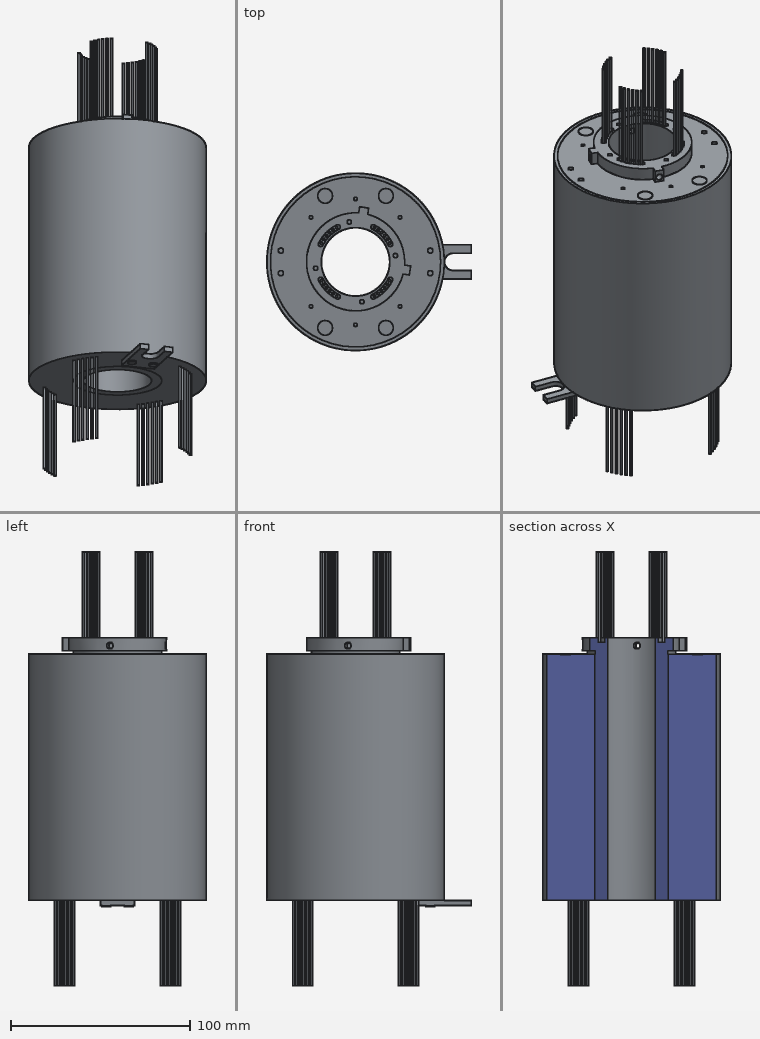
import cadquery as cq
import math

TOTAL_HEIGHT = 242.0
HOUSING_BOTTOM = 47.7
HOUSING_TOP = 185.2
FLANGE_BOTTOM = 187.0
FLANGE_TOP = 194.2

HOUSING_DIAMETER = 99.0
HOUSING_RADIUS = HOUSING_DIAMETER / 2
COVER_RADIUS = 47.5
COVER_RECESS = 0.2
SCREW_SEAT_RADIUS = 4.0
SCREW_SEAT_DEPTH = 0.2
SCREW_SEAT_X = 17.0
SCREW_SEAT_Y = 36.8
SMALL_HOLE_RADIUS = 1.0
SMALL_HOLE_CIRCLE = 35.0
SMALL_HOLE_ANGLES = (45, 90, 135, 225, 270, 315)
MOUNT_HOLE_RADIUS = 1.5
MOUNT_HOLE_X = 41.6
MOUNT_HOLE_Y = 6.3
COVER_HOLE_DEPTH = 4.8

TOTAL_LENGTH = 114.0
FORK_START_X = 34.0
FORK_END_X = TOTAL_LENGTH - HOUSING_RADIUS
FORK_WIDTH = 19.1
FORK_THICKNESS = 3.0
FORK_SLOT_WIDTH = 9.5
FORK_SLOT_START_X = 49.6
SCREW_HEAD_RADIUS = 2.5
SCREW_HEAD_HEIGHT = 0.7

BORE_DIAMETER = 38.0
BORE_RADIUS = BORE_DIAMETER / 2
SLEEVE_RADIUS = 24.7
FLANGE_RADIUS = 27.4
FACE_HOLE_RADIUS = 1.2
FACE_HOLE_CIRCLE = 22.5
FACE_HOLE_DEPTH = 2.5
CLAMP_ANGLE = -9.0
CLAMP_HEIGHT = 189.8
CLAMP_HOLE_RADIUS = 1.82
BOSS_WIDTH = 5.0
BOSS_REACH = 30.7
BOSS_ROOT = 22.5
BOSS_ANGLES = (CLAMP_ANGLE, CLAMP_ANGLE + 90)

WIRE_RADIUS = 0.65
WIRES_PER_GROUP = 6
GROUP_ANGLES = (45, 135, 225, 315)
ROTOR_WIRE_CIRCLE = 21.8
ROTOR_WIRE_PITCH = 6.5
WIRE_SLOT_WIDTH = 2.7
WIRE_SLOT_DEPTH = 2.5
WIRE_SLOT_HALF_ANGLE = 18.0
STATOR_WIRE_CIRCLE = 42.4
STATOR_WIRE_PITCH = 3.8

QUARTER_TURNS = (0, 90, 180, 270)
WIRE_SLOT_FLOOR = FLANGE_TOP - WIRE_SLOT_DEPTH
COVER_TOP = HOUSING_TOP - COVER_RECESS


def polar(radius, angle):
    """Point at a radius and an angle in degrees about the shaft axis."""
    return (radius * math.cos(math.radians(angle)), radius * math.sin(math.radians(angle)))


def wire_points(circle_radius, pitch):
    """Wire centres: groups of evenly pitched wires on one circle."""
    half_span = pitch * (WIRES_PER_GROUP - 1) / 2
    return [
        polar(circle_radius, group + wire * pitch - half_span)
        for group in GROUP_ANGLES
        for wire in range(WIRES_PER_GROUP)
    ]


def posts(points, radius, bottom, top):
    """Upright cylinders of one radius between two heights."""
    return cq.Workplane("XY").workplane(offset=bottom).pushPoints(points).circle(radius).extrude(top - bottom)


def mirrored(x_places, y):
    """Points at each x, on both sides of the X axis."""
    return [(x, side * y) for x in x_places for side in (-1, 1)]


def make_fork():
    """Flat two-pronged bracket with a round-bottomed slot and two screw heads below."""
    bottom = HOUSING_BOTTOM - FORK_THICKNESS
    slot_radius = FORK_SLOT_WIDTH / 2
    arc_centre_x = FORK_SLOT_START_X + slot_radius
    half_width = FORK_WIDTH / 2
    plate = (
        cq.Workplane("XY").workplane(offset=bottom)
        .moveTo(FORK_START_X, -half_width)
        .lineTo(FORK_END_X, -half_width)
        .lineTo(FORK_END_X, -slot_radius)
        .lineTo(arc_centre_x, -slot_radius)
        .threePointArc((FORK_SLOT_START_X, 0), (arc_centre_x, slot_radius))
        .lineTo(FORK_END_X, slot_radius)
        .lineTo(FORK_END_X, half_width)
        .lineTo(FORK_START_X, half_width)
        .close()
        .extrude(FORK_THICKNESS)
    )
    head_points = mirrored([MOUNT_HOLE_X], MOUNT_HOLE_Y)
    heads = posts(head_points, SCREW_HEAD_RADIUS, bottom - SCREW_HEAD_HEIGHT, bottom)
    return plate.union(heads)


def make_stator():
    """Housing around the sleeve, with its cover holes, fork and hanging wires."""
    body = posts([(0, 0)], HOUSING_RADIUS, HOUSING_BOTTOM, HOUSING_TOP)
    body = body.cut(posts([(0, 0)], COVER_RADIUS, COVER_TOP, HOUSING_TOP))
    body = body.cut(posts([(0, 0)], SLEEVE_RADIUS, HOUSING_BOTTOM, HOUSING_TOP))

    seats = mirrored([-SCREW_SEAT_X, SCREW_SEAT_X], SCREW_SEAT_Y)
    body = body.cut(posts(seats, SCREW_SEAT_RADIUS, COVER_TOP - SCREW_SEAT_DEPTH, HOUSING_TOP))

    hole_bottom = COVER_TOP - COVER_HOLE_DEPTH
    small_holes = [polar(SMALL_HOLE_CIRCLE, angle) for angle in SMALL_HOLE_ANGLES]
    body = body.cut(posts(small_holes, SMALL_HOLE_RADIUS, hole_bottom, HOUSING_TOP))
    mount_holes = mirrored([-MOUNT_HOLE_X, MOUNT_HOLE_X], MOUNT_HOLE_Y)
    body = body.cut(posts(mount_holes, MOUNT_HOLE_RADIUS, hole_bottom, HOUSING_TOP))

    wires = posts(wire_points(STATOR_WIRE_CIRCLE, STATOR_WIRE_PITCH), WIRE_RADIUS, 0, HOUSING_BOTTOM)
    return body.union(make_fork()).union(wires)


def radial_plane(angle):
    """Plane at the clamp screw height whose normal points outward at an angle."""
    x, y = polar(1, angle)
    return cq.Plane(origin=(0, 0, CLAMP_HEIGHT), xDir=(-y, x, 0), normal=(x, y, 0))


def make_boss(angle):
    """Block on the flange rim around a clamp hole, as tall as the flange."""
    length = BOSS_REACH - BOSS_ROOT
    height = FLANGE_TOP - FLANGE_BOTTOM
    block = cq.Workplane("XY").box(length, BOSS_WIDTH, height, centered=(False, True, False))
    return block.translate((BOSS_ROOT, 0, FLANGE_BOTTOM)).rotate((0, 0, 0), (0, 0, 1), angle)


def make_wire_slot(angle):
    """Round-ended slot, curved about the shaft axis, that a wire group rises from."""
    inner = ROTOR_WIRE_CIRCLE - WIRE_SLOT_WIDTH / 2
    outer = ROTOR_WIRE_CIRCLE + WIRE_SLOT_WIDTH / 2
    start = angle - WIRE_SLOT_HALF_ANGLE
    end = angle + WIRE_SLOT_HALF_ANGLE
    tip_angle = math.degrees(WIRE_SLOT_WIDTH / 2 / ROTOR_WIRE_CIRCLE)
    return (
        cq.Workplane("XY").workplane(offset=WIRE_SLOT_FLOOR)
        .moveTo(*polar(inner, start))
        .threePointArc(polar(inner, angle), polar(inner, end))
        .threePointArc(polar(ROTOR_WIRE_CIRCLE, end + tip_angle), polar(outer, end))
        .threePointArc(polar(outer, angle), polar(outer, start))
        .threePointArc(polar(ROTOR_WIRE_CIRCLE, start - tip_angle), polar(inner, start))
        .close()
        .extrude(WIRE_SLOT_DEPTH)
    )


def make_rotor():
    """Hollow sleeve with a clamp flange and the wires rising from it."""
    body = posts([(0, 0)], SLEEVE_RADIUS, HOUSING_BOTTOM, FLANGE_BOTTOM)
    body = body.union(posts([(0, 0)], FLANGE_RADIUS, FLANGE_BOTTOM, FLANGE_TOP))
    for angle in BOSS_ANGLES:
        body = body.union(make_boss(angle))
    body = body.cut(posts([(0, 0)], BORE_RADIUS, HOUSING_BOTTOM, FLANGE_TOP))

    clamp_angles = [CLAMP_ANGLE + turn for turn in QUARTER_TURNS]
    for angle in clamp_angles:
        body = body.cut(cq.Workplane(radial_plane(angle)).circle(CLAMP_HOLE_RADIUS).extrude(BOSS_REACH))

    face_holes = [polar(FACE_HOLE_CIRCLE, -angle) for angle in clamp_angles]
    body = body.cut(posts(face_holes, FACE_HOLE_RADIUS, FLANGE_TOP - FACE_HOLE_DEPTH, FLANGE_TOP))

    for angle in GROUP_ANGLES:
        body = body.cut(make_wire_slot(angle))
    wires = wire_points(ROTOR_WIRE_CIRCLE, ROTOR_WIRE_PITCH)
    return body.union(posts(wires, WIRE_RADIUS, WIRE_SLOT_FLOOR, TOTAL_HEIGHT))


stator = make_stator()
rotor = make_rotor()

result = cq.Compound.makeCompound([stator.val(), rotor.val()])